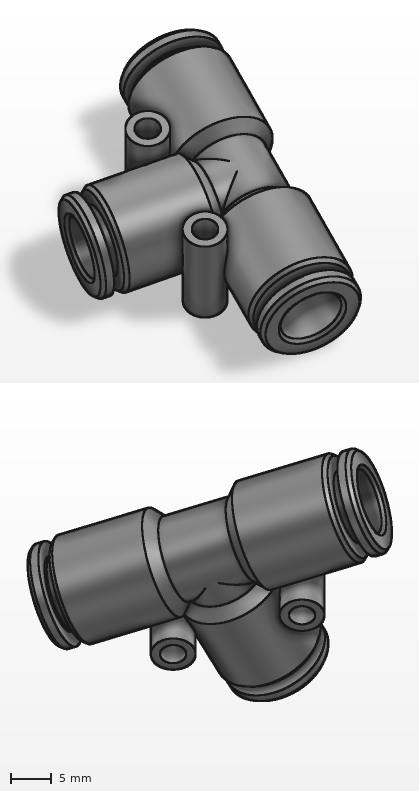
import cadquery as cq

collar_end = 21.6
collar_thickness = 1.65
collar_radius = 13.5 / 2
neck_radius = 9.3 / 2
neck_flare = 0.2
body_end = 18.55
body_radius = 14.0 / 2
waist_radius = 5.5
waist_end = 4.5
edge_axial = 0.55
edge_radial = 0.45

bore_radius = 6.5 / 2
tube_radius = 8.15 / 2
tube_stop = 6.0
mouth_chamfer = 0.45

eyelet_offset = 8.6
eyelet_diameter = 5.5
eyelet_hole_diameter = 3.2
eyelet_height = 2 * body_radius

arm_angles = (0, 180, 270)


def revolve_about_x(points):
    """Revolve a closed (distance, radius) outline about the X axis."""
    return cq.Workplane("XY").polyline(points).close().revolve(360, (0, 0, 0), (1, 0, 0))


def arm():
    """One solid arm along +X: waist, cone, body, neck and release collar."""
    shoulder = waist_end + body_radius - waist_radius
    collar_back = collar_end - collar_thickness
    return revolve_about_x([
        (0, 0),
        (0, waist_radius),
        (waist_end, waist_radius),
        (shoulder, body_radius),
        (body_end - edge_axial, body_radius),
        (body_end, body_radius - edge_radial),
        (body_end, neck_radius),
        (collar_back - neck_flare, neck_radius),
        (collar_back, neck_radius + neck_flare),
        (collar_back, collar_radius),
        (collar_end - edge_axial, collar_radius),
        (collar_end, collar_radius - edge_radial),
        (collar_end, 0),
    ])


def passage():
    """Space inside one arm: through bore, tube socket and chamfered mouth."""
    return revolve_about_x([
        (0, 0),
        (0, bore_radius),
        (tube_stop, bore_radius),
        (tube_stop, tube_radius),
        (collar_end - mouth_chamfer, tube_radius),
        (collar_end, tube_radius + mouth_chamfer),
        (collar_end, 0),
    ])


def on_all_arms(shape):
    """Copy a shape to the three arms and join the copies."""
    joined = cq.Workplane("XY")
    for angle in arm_angles:
        joined = joined.add(shape.rotate((0, 0, 0), (0, 0, 1), angle))
    return joined.combine()


def eyelet_cylinders(diameter):
    """Upright cylinders at the two eyelet positions."""
    centers = [(side * eyelet_offset, -eyelet_offset) for side in (-1, 1)]
    return (
        cq.Workplane("XY", origin=(0, 0, -eyelet_height / 2))
        .pushPoints(centers)
        .circle(diameter / 2)
        .extrude(eyelet_height)
    )


fitting = on_all_arms(arm()).union(eyelet_cylinders(eyelet_diameter))
fitting = fitting.cut(on_all_arms(passage()))
result = fitting.cut(eyelet_cylinders(eyelet_hole_diameter))